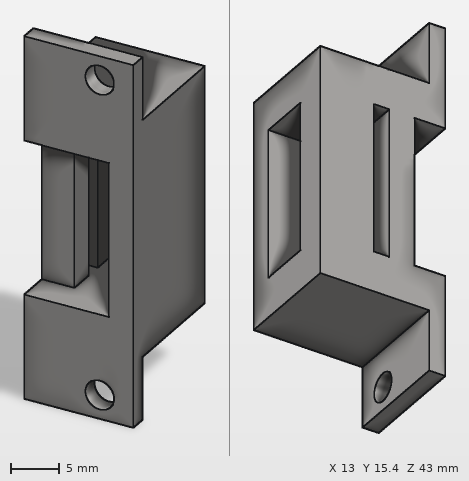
import cadquery as cq

plate_width = 13.0
plate_thickness = 2.0
plate_height = 43.0

overall_depth = 15.4
box_height = 28.1

opening_height = 18.25
side_wall = 3.9
opening_width = 6.2
lip_recess_depth = 3.8

slot_front = 6.9
slot_width = 1.9

screw_hole_diameter = 3.4
screw_hole_x = 9.0
screw_hole_end_distance = 2.83

middle_height = plate_height / 2


def block(x_start, x_size, y_start, y_size, z_size):
    """Rectangular block centred on the middle height of the part."""
    z_start = middle_height - z_size / 2
    solid = cq.Workplane("XY").box(x_size, y_size, z_size, centered=False)
    return solid.translate((x_start, y_start, z_start))


def screw_hole(z_centre):
    """Cylinder along +Y that passes through the face plate."""
    hole = cq.Workplane("XZ").circle(screw_hole_diameter / 2).extrude(-plate_thickness)
    return hole.translate((screw_hole_x, 0, z_centre))


plate = block(0, plate_width, 0, plate_thickness, plate_height)
box = block(0, plate_width, plate_thickness, overall_depth - plate_thickness, box_height)
result = plate.union(box)

result = result.cut(block(side_wall, opening_width, 0, overall_depth, opening_height))

result = result.cut(block(0, side_wall, 0, lip_recess_depth, opening_height))

result = result.cut(block(0, side_wall, slot_front, slot_width, opening_height))

for hole_z in (screw_hole_end_distance, plate_height - screw_hole_end_distance):
    result = result.cut(screw_hole(hole_z))